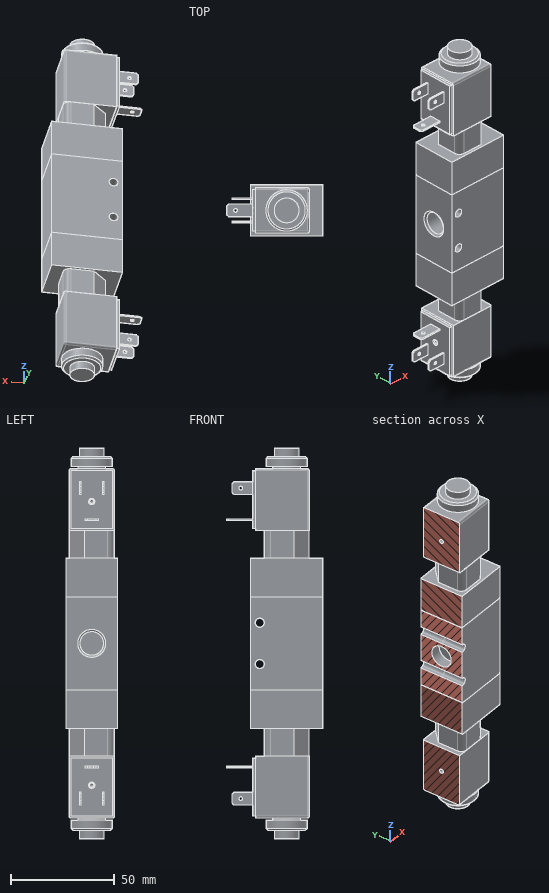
import cadquery as cq


BODY_X = 35.0
BODY_Y = 25.0
BLOCK_HEIGHT = 45.0
MOUNT_HOLE_DIAMETER = 4.25
MOUNT_HOLE_X = -13.0
MOUNT_HOLE_SPACING = 20.0
PORT_DIAMETER = 11.4
PORT_MOUTH_DIAMETER = 13.5
PORT_DEPTH = 10.0

CAP_HEIGHT = 18.75
NECK_HEIGHT = 13.25
NECK_CHAMFER = 7.3
NECK_CORNER_RADIUS = 3.2
COIL_HEIGHT = 30.0
COIL_WIDTH = 22.0
NECK_STEP = 0.1
NECK_WIDTH = COIL_WIDTH - 2 * NECK_STEP
COIL_X_MIN = -15.0
COIL_X_MAX = COIL_WIDTH / 2
COIL_EDGE_RADIUS = 1.0
PLATE_THICKNESS = 1.5
PLATE_INSET = 1.0

TUBE_DIAMETER = 13.5
TUBE_HEIGHT = 1.0
NUT_DIAMETER = 20.0
NUT_HEIGHT = 5.0
NUT_CHAMFER = 1.0
BUTTON_DIAMETER = 12.0
BUTTON_HEIGHT = 4.0

BLADE_WIDTH = 6.3
BLADE_THICKNESS = 0.8
BLADE_TIP_CHAMFER = 1.0
BLADE_HOLE_DIAMETER = 1.65
BLADE_HOLE_FROM_TIP = 4.3
POWER_TIP_X = -26.5
GROUND_TIP_X = -29.0
POWER_SPACING = 11.2
POWER_ABOVE_COIL_BASE = 20.6
GROUND_ABOVE_COIL_BASE = 5.3
SCREW_ABOVE_COIL_BASE = 14.1
SCREW_MOUTH_DIAMETER = 3.0
SCREW_DIAMETER = 2.0
SCREW_DEPTH = 6.0

CAP_BASE = BLOCK_HEIGHT / 2
NECK_BASE = CAP_BASE + CAP_HEIGHT
COIL_BASE = NECK_BASE + NECK_HEIGHT
COIL_TOP = COIL_BASE + COIL_HEIGHT
NUT_BASE = COIL_TOP + TUBE_HEIGHT
BUTTON_BASE = NUT_BASE + NUT_HEIGHT
PLATE_FACE_X = COIL_X_MIN - PLATE_THICKNESS


def cylinder(diameter, base, height):
    return cq.Workplane("XY").workplane(offset=base).circle(diameter / 2).extrude(height)


def bore_cutter(mouth_diameter, diameter, depth, tip_depth):
    """Solid that cuts a chamfered bore along +X, ending flat or in a cone of length tip_depth."""
    chamfer = (mouth_diameter - diameter) / 2
    half_section = [
        (0, 0),
        (0, mouth_diameter / 2),
        (chamfer, diameter / 2),
        (depth, diameter / 2),
        (depth + tip_depth, 0),
    ]
    return cq.Workplane("XY").polyline(half_section).close().revolve(360, (0, 0, 0), (1, 0, 0))


def make_valve_block():
    block = cq.Workplane("XY").box(BODY_X, BODY_Y, BLOCK_HEIGHT)
    mount_holes = (
        cq.Workplane("XZ")
        .pushPoints([(MOUNT_HOLE_X, side * MOUNT_HOLE_SPACING / 2) for side in (-1, 1)])
        .circle(MOUNT_HOLE_DIAMETER / 2)
        .extrude(BODY_Y, both=True)
    )
    port = bore_cutter(PORT_MOUTH_DIAMETER, PORT_DIAMETER, PORT_DEPTH, 0)
    return block.cut(mount_holes).cut(port.translate((-BODY_X / 2, 0, 0)))


def make_neck():
    """Square neck, two opposite corners cut at 45 degrees and the other two rounded."""
    half = NECK_WIDTH / 2
    cut = half - NECK_CHAMFER
    outline = [(-half, -half), (cut, -half), (half, -cut), (half, half), (-cut, half), (-half, cut)]
    neck = cq.Workplane("XY").workplane(offset=NECK_BASE).polyline(outline).close().extrude(NECK_HEIGHT)
    rounded_corners = [(-half, -half), (half, half)]
    for x, y in rounded_corners:
        corner = cq.selectors.NearestToPointSelector((x, y, NECK_BASE + NECK_HEIGHT / 2))
        neck = neck.edges("|Z").edges(corner).fillet(NECK_CORNER_RADIUS)
    return neck


def make_coil():
    """Coil block with rounded outer edges and a raised connector plate on its -X face."""
    coil = (
        cq.Workplane("XY")
        .box(COIL_X_MAX - COIL_X_MIN, COIL_WIDTH, COIL_HEIGHT, centered=(False, True, False))
        .translate((COIL_X_MIN, 0, COIL_BASE))
        .edges("(|Z and >X) or (>Z and (not <X))")
        .fillet(COIL_EDGE_RADIUS)
    )
    plate = (
        cq.Workplane("XY")
        .box(
            PLATE_THICKNESS,
            COIL_WIDTH - 2 * PLATE_INSET,
            COIL_HEIGHT - 2 * PLATE_INSET,
            centered=(False, True, False),
        )
        .translate((PLATE_FACE_X, 0, COIL_BASE + PLATE_INSET))
    )
    screw_hole = bore_cutter(SCREW_MOUTH_DIAMETER, SCREW_DIAMETER, SCREW_DEPTH, SCREW_DIAMETER / 2)
    return coil.union(plate).cut(screw_hole.translate((PLATE_FACE_X, 0, COIL_BASE + SCREW_ABOVE_COIL_BASE)))


def make_blade(tip_x):
    """Flat connector blade lying in the XY plane, from the plate face to its tip."""
    hole = cylinder(BLADE_HOLE_DIAMETER, -BLADE_THICKNESS, 2 * BLADE_THICKNESS)
    return (
        cq.Workplane("XY")
        .box(PLATE_FACE_X - tip_x, BLADE_WIDTH, BLADE_THICKNESS, centered=(False, True, True))
        .edges("|Z and <X")
        .chamfer(BLADE_TIP_CHAMFER)
        .cut(hole.translate((BLADE_HOLE_FROM_TIP, 0, 0)))
        .translate((tip_x, 0, 0))
    )


def make_upper_operator():
    operator = (
        cq.Workplane("XY")
        .box(BODY_X, BODY_Y, CAP_HEIGHT, centered=(True, True, False))
        .translate((0, 0, CAP_BASE))
    )
    nut = cylinder(NUT_DIAMETER, NUT_BASE, NUT_HEIGHT).faces(">Z").chamfer(NUT_CHAMFER)
    operator = (
        operator.union(make_neck())
        .union(make_coil())
        .union(cylinder(TUBE_DIAMETER, COIL_TOP, TUBE_HEIGHT))
        .union(nut)
        .union(cylinder(BUTTON_DIAMETER, BUTTON_BASE, BUTTON_HEIGHT))
    )
    ground_blade = make_blade(GROUND_TIP_X).translate((0, 0, COIL_BASE + GROUND_ABOVE_COIL_BASE))
    operator = operator.union(ground_blade)
    upright_blade = make_blade(POWER_TIP_X).rotate((0, 0, 0), (1, 0, 0), 90)
    for side in (-1, 1):
        place = (0, side * POWER_SPACING / 2, COIL_BASE + POWER_ABOVE_COIL_BASE)
        operator = operator.union(upright_blade.translate(place))
    return operator


valve_block = make_valve_block()
upper_operator = make_upper_operator()
lower_operator = upper_operator.mirror("XY")

result = cq.Compound.makeCompound([valve_block.val(), upper_operator.val(), lower_operator.val()])